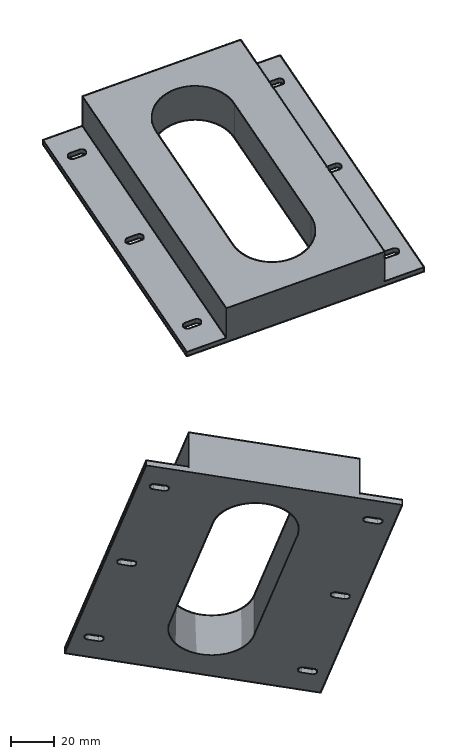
import cadquery as cq

length = 150.0
width = 121.8
height = 22.8

block_width = 81.3
flange_thickness = 3.0
flange_width = (width - block_width) / 2

opening_length = 120.0
opening_width = 40.0

slot_length = 9.0
slot_width = 4.0
slot_spacing = 60.0
slot_row_offset = width / 2 - flange_width / 2
slot_centers = [
    (column * slot_spacing, side * slot_row_offset)
    for column in (-1, 0, 1)
    for side in (-1, 1)
]


def make_body():
    """Solid block standing on a thin plate that forms both flanges."""
    on_base = (True, True, False)
    plate = cq.Workplane("XY").box(length, width, flange_thickness, centered=on_base)
    block = cq.Workplane("XY").box(length, block_width, height, centered=on_base)
    return plate.union(block)


def make_opening():
    """Round-ended opening through the full height of the block."""
    return cq.Workplane("XY").slot2D(opening_length, opening_width).extrude(height)


def make_mounting_slots():
    """Slots through the flanges, elongated along Y."""
    slots = cq.Workplane("XY").pushPoints(slot_centers).slot2D(slot_length, slot_width, 90)
    return slots.extrude(flange_thickness)


result = make_body().cut(make_opening()).cut(make_mounting_slots())